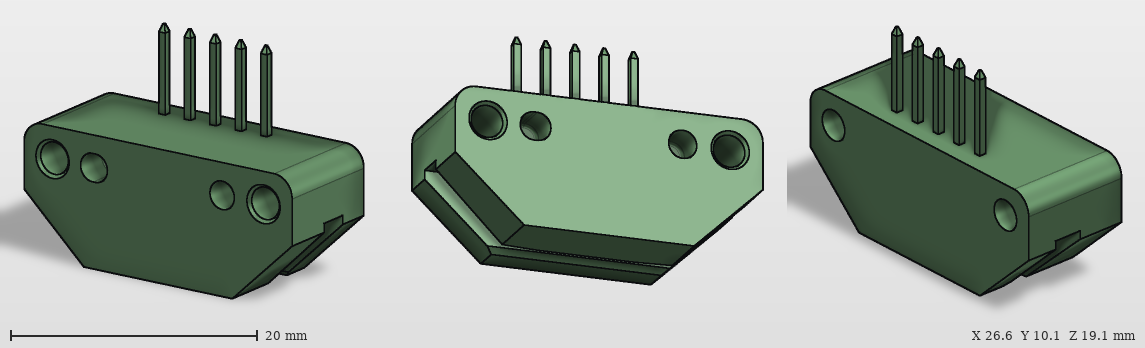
import cadquery as cq

body_width = 26.62
body_depth = 10.12
body_height = 11.42
corner_radius = 1.8
bottom_width = 14.72
side_bottom_z = 5.56

half_width = body_width / 2
front_y = -body_depth / 2
back_y = body_depth / 2

slot_front_y = 0.35
slot_back_y = 2.1
slot_top_z = 6.34
slot_end_front_y = -0.53
slot_straight_length = 8.35
lead_in_chamfer = 0.5

hole_z = body_height - 2.8
mount_spacing = 20.95
mount_diameter = 2.75
countersink_diameter = 3.3
locating_spacing = 12.72
locating_diameter = 2.42
locating_floor_radius = 0.27
locating_depth = 3.2
locating_stretch = 0.25

pin_count = 5
pin_pitch = 2.53
pin_side = 0.65
pin_y = 2.98
pin_length = 7.65
pin_tip_length = 0.67
pin_tip_side = 0.15


def front_plane(x):
    """Plane on the front face at a hole centre, with its normal pointing into the body."""
    return cq.Plane(origin=(x, front_y, hole_z), xDir=(1, 0, 0), normal=(0, 1, 0))


def make_body():
    outline = (
        cq.Workplane("XZ", origin=(0, back_y, 0))
        .moveTo(-bottom_width / 2, 0)
        .lineTo(bottom_width / 2, 0)
        .lineTo(half_width, side_bottom_z)
        .lineTo(half_width, body_height)
        .lineTo(-half_width, body_height)
        .lineTo(-half_width, side_bottom_z)
        .close()
    )
    return outline.extrude(body_depth).edges("|Y and >Z").fillet(corner_radius)


def make_slot():
    """Slot whose front wall flares toward the front at both ends."""
    half_straight = slot_straight_length / 2
    return (
        cq.Workplane("XY")
        .moveTo(-half_width, slot_back_y)
        .lineTo(half_width, slot_back_y)
        .lineTo(half_width, slot_end_front_y)
        .lineTo(half_straight, slot_front_y)
        .lineTo(-half_straight, slot_front_y)
        .lineTo(-half_width, slot_end_front_y)
        .close()
        .extrude(slot_top_z)
    )


def make_lead_in():
    """Chamfer along the bottom edge of the slot's back wall."""
    return (
        cq.Workplane("YZ", origin=(-half_width, 0, 0))
        .moveTo(slot_back_y, 0)
        .lineTo(slot_back_y + lead_in_chamfer, 0)
        .lineTo(slot_back_y, lead_in_chamfer)
        .close()
        .extrude(body_width)
    )


def make_cone(x, mouth_diameter, end_diameter, depth):
    return cq.Workplane(
        cq.Solid.makeCone(
            mouth_diameter / 2,
            end_diameter / 2,
            depth,
            cq.Vector(x, front_y, hole_z),
            cq.Vector(0, 1, 0),
        )
    )


def make_mount_hole(x):
    """Through hole with a 45 degree countersink in the front face."""
    through = cq.Workplane(front_plane(x)).circle(mount_diameter / 2).extrude(body_depth)
    countersink_depth = (countersink_diameter - mount_diameter) / 2
    return through.union(make_cone(x, countersink_diameter, mount_diameter, countersink_depth))


def make_round_locating_hole(x):
    """Blind hole with a rounded floor edge."""
    hole = cq.Workplane(front_plane(x)).circle(locating_diameter / 2).extrude(locating_depth)
    return hole.faces(">Y").edges().fillet(locating_floor_radius)


def make_long_locating_hole(x):
    """Blind hole stretched along X, with round ends and a rounded floor edge."""
    hole_length = locating_diameter + locating_stretch
    hole = cq.Workplane(front_plane(x)).slot2D(hole_length, locating_diameter).extrude(locating_depth)
    return hole.faces(">Y").edges().fillet(locating_floor_radius)


def make_pin(x):
    """Square pin with a pointed, slightly blunt tip."""
    shank_length = pin_length - pin_tip_length
    base = cq.Workplane("XY", origin=(x, pin_y, body_height))
    shank = base.rect(pin_side, pin_side).extrude(shank_length)
    tip = (
        base.workplane(offset=shank_length)
        .rect(pin_side, pin_side)
        .workplane(offset=pin_tip_length)
        .rect(pin_tip_side, pin_tip_side)
        .loft(ruled=True)
    )
    return shank.union(tip)


result = make_body().cut(make_slot()).cut(make_lead_in())

for side in (-1, 1):
    result = result.cut(make_mount_hole(side * mount_spacing / 2))

result = result.cut(make_long_locating_hole(-locating_spacing / 2))
result = result.cut(make_round_locating_hole(locating_spacing / 2))

for index in range(pin_count):
    pin_x = (index - (pin_count - 1) / 2) * pin_pitch
    result = result.union(make_pin(pin_x))